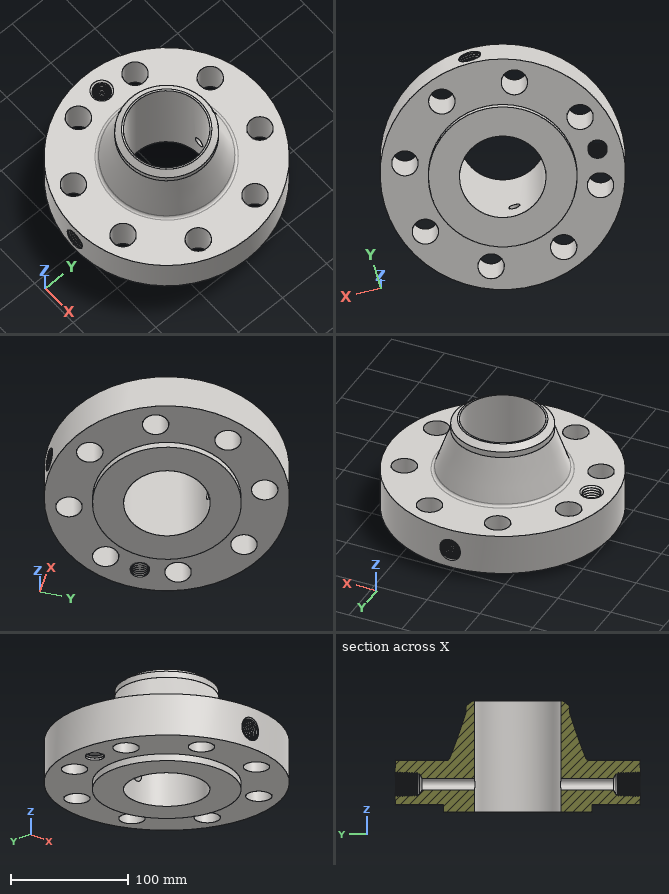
import cadquery as cq
import math

flange_radius = 104.8
face_radius = 63.5
face_height = 6.3
flange_thickness = 38.1
flange_top = face_height + flange_thickness
overall_height = 95.3
bore_radius = 36.9

neck_radius = 44.5
neck_land_length = 5.7
bevel_angle = 37.5
end_land_width = 1.7
bevel_height = (neck_radius - bore_radius - end_land_width) * math.tan(math.radians(bevel_angle))
cone_top = overall_height - bevel_height - neck_land_length
cone_base_radius = 58.9
hub_fillet_radius = 3.1
selection_margin = 0.2

bolt_count = 8
bolt_hole_diameter = 22.5
bolt_circle_radius = 84.0

jack_minor_radius = 8.2
jack_major_radius = 10.0
jack_pitch = 2.5

tap_minor_radius = 9.2
tap_major_radius = 10.5
tap_pitch = 2.0
tap_slope = 1 / 32
tap_depth = 21.0
tap_height = 23.9
tap_drill_diameter = 9.5
drill_point_angle = 118.0

thread_angle = 60.0


def make_body():
    """Flange, raised face and welding neck as one turned solid."""
    profile = (
        cq.Workplane("XZ")
        .moveTo(bore_radius, 0)
        .lineTo(face_radius, 0)
        .lineTo(face_radius, face_height)
        .lineTo(flange_radius, face_height)
        .lineTo(flange_radius, flange_top)
        .lineTo(cone_base_radius, flange_top)
        .lineTo(neck_radius, cone_top)
        .lineTo(neck_radius, overall_height - bevel_height)
        .lineTo(bore_radius + end_land_width, overall_height)
        .lineTo(bore_radius, overall_height)
        .close()
    )
    body = profile.revolve(360, (0, 0, 0), (0, 1, 0))
    foot_region = cq.selectors.BoxSelector(
        (-face_radius, -face_radius, flange_top - selection_margin),
        (face_radius, face_radius, flange_top + selection_margin),
        boundingbox=True,
    )
    return body.edges(foot_region).fillet(hub_fillet_radius)


def threaded_hole(minor_radius, major_radius, pitch, length, slope=0.0, point_height=0.0):
    """Cutter for a threaded hole along +Z, with the thread as V rings one pitch apart.

    The radii hold at the mouth, z = 0, where the first ring lies, and shrink by slope per unit of depth.
    A positive point_height ends the hole in a cone.
    """
    half_width = (major_radius - minor_radius) * math.tan(math.radians(thread_angle / 2))

    def crest(depth):
        return (minor_radius - slope * depth, depth)

    def root(depth):
        return (major_radius - slope * depth, depth)

    profile = cq.Workplane("XZ").lineTo(*root(0)).lineTo(*crest(half_width))
    for ring in range(1, int(length / pitch)):
        depth = ring * pitch
        profile = (
            profile.lineTo(*crest(depth - half_width))
            .lineTo(*root(depth))
            .lineTo(*crest(depth + half_width))
        )
    profile = profile.lineTo(*crest(length)).lineTo(0, length + point_height).close()
    return profile.revolve(360, (0, 0, 0), (0, 1, 0))


def make_bolt_holes():
    """Plain through holes, set half a step off the X axis."""
    return (
        cq.Workplane("XY", origin=(0, 0, face_height))
        .polarArray(bolt_circle_radius, 180 / bolt_count, 360, bolt_count)
        .circle(bolt_hole_diameter / 2)
        .extrude(flange_thickness)
    )


def make_jack_hole():
    """Threaded through hole on the bolt circle at -X."""
    cutter = threaded_hole(jack_minor_radius, jack_major_radius, jack_pitch, flange_thickness)
    downward = cutter.rotate((0, 0, 0), (1, 0, 0), 180)
    return downward.translate((-bolt_circle_radius, 0, flange_top))


def make_pressure_tap():
    """Radial tap entering from -Y: thread, drill point, then a small drill on into the bore."""
    end_radius = tap_minor_radius - tap_slope * tap_depth
    point_height = end_radius / math.tan(math.radians(drill_point_angle / 2))
    thread = threaded_hole(
        tap_minor_radius, tap_major_radius, tap_pitch, tap_depth, tap_slope, point_height
    )
    drill = cq.Workplane("XY").circle(tap_drill_diameter / 2).extrude(flange_radius)
    along_y = thread.union(drill).rotate((0, 0, 0), (1, 0, 0), -90)
    return along_y.translate((0, -flange_radius, tap_height))


pressure_tap = make_pressure_tap()
result = (
    make_body()
    .cut(make_bolt_holes())
    .cut(make_jack_hole())
    .cut(pressure_tap)
    .cut(pressure_tap.mirror("XZ"))
)